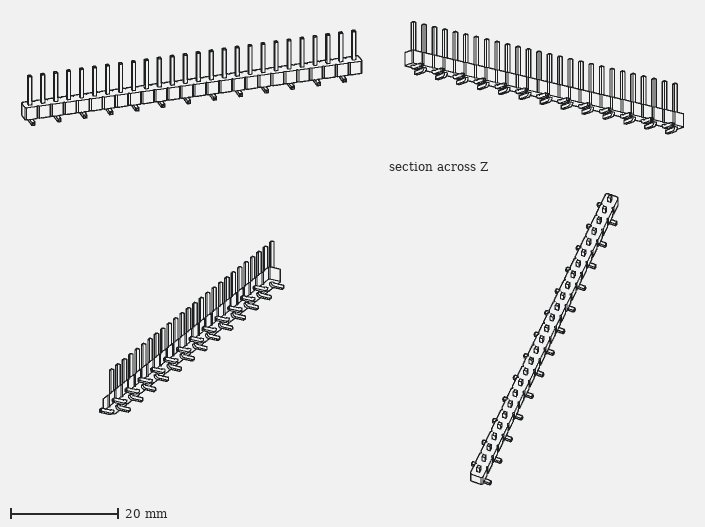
import cadquery as cq

pin_count = 26
pitch = 2.54
overall_width = 5.0
overall_height = 9.3

body_width = 2.54
body_height = 2.54
corner_chamfer = 0.25

pin_size = 0.64
pin_exposed_length = 6.0
tip_taper = 0.16

body_top = overall_height - pin_exposed_length
body_bottom = body_top - body_height
half_pin = pin_size / 2
bend_radius = pin_size
foot_reach = overall_width / 2
bend_end = bend_radius - half_pin
tip_end_size = pin_size - 2 * tip_taper
first_pin_y = -(pin_count - 1) * pitch / 2


def make_body_segment(center_y):
    """One pitch of the insulator with chamfered vertical edges."""
    return (
        cq.Workplane("XY", origin=(0, center_y, body_bottom))
        .rect(body_width, pitch)
        .extrude(body_height)
        .edges("|Z")
        .chamfer(corner_chamfer)
    )


def make_tapered_tip(base_plane):
    """Truncated square pyramid that closes the end of a square wire."""
    return (
        cq.Workplane(base_plane)
        .rect(pin_size, pin_size)
        .workplane(offset=tip_taper)
        .rect(tip_end_size, tip_end_size)
        .loft(combine=True)
    )


def make_contact(center_y, side):
    """Square wire bent into an L; side is +1 or -1 for a foot toward +X or -X.

    The bend is rounded on its outside and has a sharp inside corner.
    """
    foot_end = foot_reach - tip_taper
    pin_end = overall_height - tip_taper
    wire = (
        cq.Workplane("XZ", origin=(0, center_y, 0))
        .moveTo(-side * half_pin, pin_end)
        .lineTo(-side * half_pin, bend_radius)
        .radiusArc((side * bend_end, 0), -side * bend_radius)
        .lineTo(side * foot_end, 0)
        .lineTo(side * foot_end, pin_size)
        .lineTo(side * half_pin, pin_size)
        .lineTo(side * half_pin, pin_end)
        .close()
        .extrude(half_pin, both=True)
    )
    pin_tip_plane = cq.Plane(origin=(0, center_y, pin_end), xDir=(1, 0, 0), normal=(0, 0, 1))
    foot_tip_plane = cq.Plane(
        origin=(side * foot_end, center_y, half_pin), xDir=(0, 1, 0), normal=(side, 0, 0)
    )
    return wire.union(make_tapered_tip(pin_tip_plane)).union(make_tapered_tip(foot_tip_plane))


segments = []
for index in range(pin_count):
    pin_y = first_pin_y + index * pitch
    foot_side = 1 if index % 2 == 0 else -1
    segment = make_body_segment(pin_y).union(make_contact(pin_y, foot_side))
    segments.append(segment.val())

result = cq.Workplane("XY").newObject([segments[0].fuse(*segments[1:]).clean()])